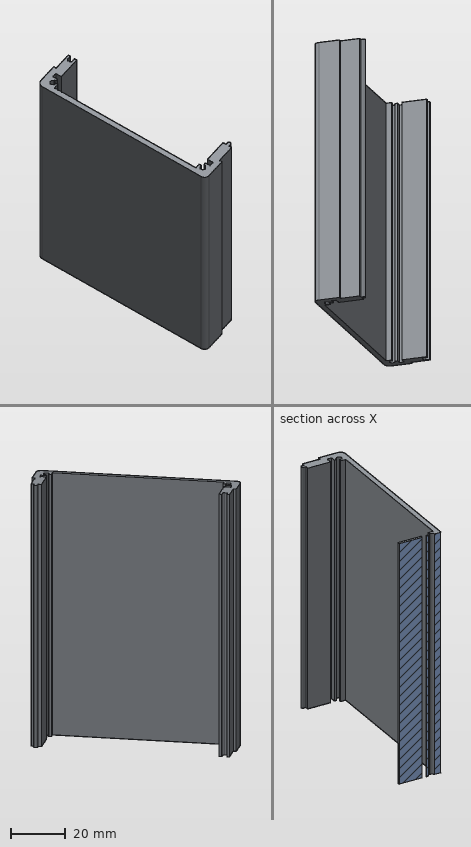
import cadquery as cq

width = 76.0
length = 100.0
overall_depth = 19.2
floor_thickness = 2.2
corner_radius = 2.1

wall_top = 17.6
shoulder_height = 10.1
shoulder_width = 1.1
wall_inner_offset = 5.0
recess_offset = 2.5
recess_top = 7.9

hook_top = 6.1
hook_underside = 5.2
hook_tip_offset = 4.6
lip_top = 4.3
lip_inner_offset = 6.1
channel_offset = 4.1
channel_height = 3.8
channel_radius = 1.0
mouth_outer_offset = 3.9

joint_offset = 3.0
groove_width = 1.9
groove_depth = 2.2
groove_corner_radius = 0.6
tongue_width = 1.4

half_width = width / 2
channel_inner_offset = channel_offset + channel_radius


def block(x_start, x_end, y_start, y_end):
    """Full-length bar with the given cross-section limits."""
    size = (x_end - x_start, y_end - y_start, length)
    return cq.Workplane("XY").box(*size, centered=False).translate((x_start, y_start, 0))


def make_left_side():
    """Left wall with its shoulder, inner recess and screw channel."""
    x_outer = -half_width
    x_inner = x_outer + wall_inner_offset
    x_recess = x_outer + recess_offset
    x_hook_tip = x_outer + hook_tip_offset
    x_lip = x_outer + lip_inner_offset
    wall = (
        cq.Workplane("XY")
        .moveTo(x_outer, 0)
        .lineTo(x_outer, shoulder_height)
        .lineTo(x_outer + shoulder_width, shoulder_height)
        .lineTo(x_outer + shoulder_width, wall_top)
        .lineTo(x_inner, wall_top)
        .lineTo(x_inner, recess_top)
        .lineTo(x_recess, recess_top)
        .lineTo(x_recess, hook_top)
        .lineTo(x_hook_tip, hook_top)
        .lineTo(x_hook_tip, lip_top)
        .lineTo(x_lip, lip_top)
        .lineTo(x_lip, 0)
        .close()
        .extrude(length)
    )
    bore = (
        cq.Workplane("XY")
        .center(x_outer + channel_offset, channel_height)
        .circle(channel_radius)
        .extrude(length)
    )
    mouth = block(
        x_outer + mouth_outer_offset,
        x_outer + channel_inner_offset,
        channel_height,
        hook_underside,
    )
    return wall.cut(bore).cut(mouth)


def make_groove():
    """Groove cutter with rounded bottom corners."""
    x_center = -half_width + joint_offset
    cutter = block(
        x_center - groove_width / 2,
        x_center + groove_width / 2,
        wall_top - groove_depth,
        wall_top,
    )
    return cutter.edges("|Z and <Y").fillet(groove_corner_radius)


def make_tongue():
    """Tongue with a half-round tip, rooted on the top of the right wall."""
    x_center = half_width - joint_offset
    half_tongue = tongue_width / 2
    tip_start = overall_depth - half_tongue
    return (
        cq.Workplane("XY")
        .moveTo(x_center - half_tongue, wall_top)
        .lineTo(x_center - half_tongue, tip_start)
        .threePointArc((x_center, overall_depth), (x_center + half_tongue, tip_start))
        .lineTo(x_center + half_tongue, wall_top)
        .close()
        .extrude(length)
    )


floor = block(-half_width + lip_inner_offset, half_width - lip_inner_offset, 0, floor_thickness)
left_side = make_left_side()
right_side = left_side.mirror("YZ")

channel = floor.union(left_side).union(right_side).clean()
channel = channel.edges("|Z and <Y").fillet(corner_radius)
result = channel.cut(make_groove()).union(make_tongue())